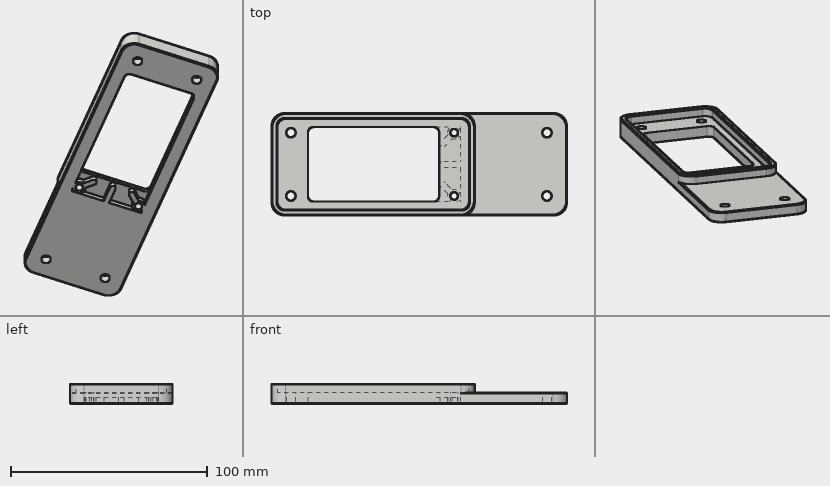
import cadquery as cq
import math

plate_length = 150.2
plate_width = 52.1
plate_height = 5.7
corner_radius = 7.0
edge_chamfer = 0.5

tray_length = 103.3
rim_height = 10.2
rim_wall = 3.0

window_start = 18.6
window_end = 85.2
window_width = 37.7
window_radius = 2.7

hole_offset_y = 16.0
clearance_diameter = 4.7
clearance_places_x = (9.9, 140.0)
pilot_diameter = 3.8
pilot_x = 92.8

recess_depth = 3.2
boss_diameter = 6.6
recess_end = pilot_x + boss_diameter / 2
rib_width = 3.0
rib_pitch = 10.4
rib_nose_x = pilot_x - (hole_offset_y - rib_pitch)


def rounded_block(start_x, end_x, width, height, radius):
    """Block standing on Z = 0 between two X positions, with rounded vertical edges."""
    block = cq.Workplane("XY").box(end_x - start_x, width, height, centered=(False, True, False))
    return block.edges("|Z").fillet(radius).translate((start_x, 0, 0))


def cylinder_pair(x, diameter, height):
    """Two upright cylinders standing on Z = 0 at the screw positions on either side of the X axis."""
    places = [(x, -hole_offset_y), (x, hole_offset_y)]
    return cq.Workplane("XY").pushPoints(places).circle(diameter / 2).extrude(height)


def rib(start, end):
    """Upright round-ended rib whose end arcs are centred on two points."""
    run_x = end[0] - start[0]
    run_y = end[1] - start[1]
    rib_length = math.hypot(run_x, run_y) + rib_width
    angle = math.degrees(math.atan2(run_y, run_x))
    middle = (start[0] + run_x / 2, start[1] + run_y / 2, 0)
    bar = cq.Workplane("XY").slot2D(rib_length, rib_width).extrude(recess_depth)
    return bar.rotate((0, 0, 0), (0, 0, 1), angle).translate(middle)


def plate():
    """Base plate, chamfered around its top and bottom."""
    block = rounded_block(0, plate_length, plate_width, plate_height, corner_radius)
    return block.faces("<Z or >Z").chamfer(edge_chamfer)


def tray():
    """Tray with its floor level with the plate top; the rim is chamfered inside and out."""
    block = rounded_block(0, tray_length, plate_width, rim_height, corner_radius)
    cavity = rounded_block(
        rim_wall,
        tray_length - rim_wall,
        plate_width - 2 * rim_wall,
        rim_height - plate_height,
        corner_radius - rim_wall,
    ).translate((0, 0, plate_height))
    return block.cut(cavity).faces("<Z or >Z").chamfer(edge_chamfer)


def window():
    """Volume of the window through the tray floor."""
    return rounded_block(window_start, window_end, window_width, plate_height, window_radius)


def recess():
    """Volume removed from the underside, open to the window and clear of the ribs and bosses."""
    start_x = window_end - window_radius
    volume = (
        cq.Workplane("XY")
        .box(recess_end - start_x, window_width, recess_depth, centered=(False, True, False))
        .translate((start_x, 0, 0))
    )
    volume = volume.cut(rib((rib_nose_x, 0), (recess_end, 0)))
    for side in (-1, 1):
        volume = volume.cut(rib((rib_nose_x, side * rib_pitch), (pilot_x, side * hole_offset_y)))
    return volume.cut(cylinder_pair(pilot_x, boss_diameter, recess_depth))


result = plate().union(tray())
result = result.cut(window()).cut(recess())
for clearance_x in clearance_places_x:
    result = result.cut(cylinder_pair(clearance_x, clearance_diameter, plate_height))
result = result.cut(cylinder_pair(pilot_x, pilot_diameter, plate_height))